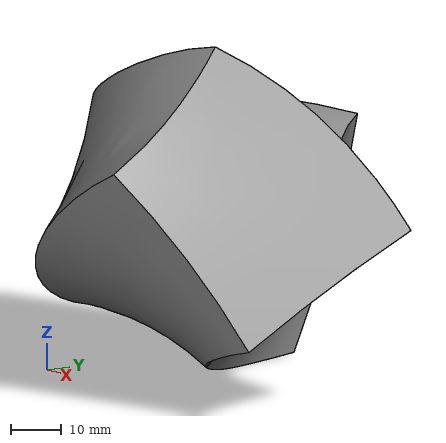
import cadquery as cq


left_front_top = (0.0, 57.5, 48.0)
left_front_low = (2.2, 59.7, 6.6)
left_back_top = (54.8, 75.5, 50.2)
left_back_low = (41.5, 69.0, 0.7)
right_front_top = (89.0, 21.4, 73.7)
right_front_low = (85.3, 0.0, 49.4)
right_back_top = (122.0, 46.5, 39.4)
right_back_low = (108.1, 17.3, 15.5)

face_divisions = 16
face_tolerance = 0.001
sewing_tolerance = 0.05


def curved_edge(start, *between, end):
    """Return a smooth edge from start to end through the points between."""
    points = [cq.Vector(*point) for point in (start, *between, end)]
    return cq.Edge.makeSpline(points)


def blended_face(low, high, start, end):
    """
    Return the face that blends four edges evenly between them.

    low and high run side by side; start joins their first ends and end their last.
    """
    steps = [index / face_divisions for index in range(face_divisions + 1)]
    low_points, high_points, start_points, end_points = (
        [edge.positionAt(step) for step in steps] for edge in (low, high, start, end)
    )
    grid = []
    for i, u in enumerate(steps):
        row = []
        for j, v in enumerate(steps):
            across = low_points[i] * (1 - v) + high_points[i] * v
            along = start_points[j] * (1 - u) + end_points[j] * u
            low_corners = low_points[0] * (1 - u) + low_points[-1] * u
            high_corners = high_points[0] * (1 - u) + high_points[-1] * u
            corners = low_corners * (1 - v) + high_corners * v
            row.append(across + along - corners)
        grid.append(row)
    return cq.Face.makeSplineApprox(grid, tol=face_tolerance, minDeg=3)


front_top_edge = curved_edge(
    left_front_top,
    (8.8, 46.1, 49.1),
    (22.1, 34.3, 52.4),
    (44.1, 24.2, 60.4),
    (66.2, 21.4, 68.2),
    end=right_front_top,
)
front_low_edge = curved_edge(
    left_front_low,
    (13.2, 34.3, 10.0),
    (30.9, 15.5, 20.5),
    (48.6, 6.2, 31.4),
    (66.2, 1.8, 40.9),
    end=right_front_low,
)
back_top_edge = curved_edge(
    left_back_top,
    (66.2, 64.6, 46.9),
    (81.7, 55.7, 43.1),
    (97.0, 50.2, 40.9),
    end=right_back_top,
)
back_low_edge = curved_edge(
    left_back_low,
    (44.4, 57.1, 0.0),
    (57.4, 41.3, 2.2),
    (76.4, 26.9, 7.3),
    end=right_back_low,
)

left_top_edge = curved_edge(
    left_front_top,
    (27.2, 65.7, 51.0),
    end=left_back_top,
)
left_low_edge = curved_edge(
    left_front_low,
    (17.7, 61.9, 7.2),
    (30.9, 66.0, 4.8),
    end=left_back_low,
)
right_top_edge = curved_edge(
    right_front_top,
    (101.4, 30.3, 66.0),
    end=right_back_top,
)
right_low_edge = curved_edge(
    right_front_low,
    (100.0, 10.7, 30.3),
    end=right_back_low,
)

left_front_edge = curved_edge(
    left_front_low,
    (1.8, 58.6, 27.2),
    end=left_front_top,
)
left_back_edge = curved_edge(
    left_back_low,
    (49.3, 73.0, 25.4),
    end=left_back_top,
)
right_front_edge = curved_edge(
    right_front_low,
    (87.2, 10.7, 59.0),
    end=right_front_top,
)
right_back_edge = curved_edge(
    right_back_low,
    (115.5, 32.1, 28.5),
    end=right_back_top,
)

faces = [
    blended_face(front_low_edge, front_top_edge, left_front_edge, right_front_edge),
    blended_face(back_low_edge, back_top_edge, left_back_edge, right_back_edge),
    blended_face(front_top_edge, back_top_edge, left_top_edge, right_top_edge),
    blended_face(front_low_edge, back_low_edge, left_low_edge, right_low_edge),
    blended_face(left_low_edge, left_top_edge, left_front_edge, left_back_edge),
    blended_face(right_low_edge, right_top_edge, right_front_edge, right_back_edge),
]

block_shell = cq.occ_impl.shapes.shell(*faces, tol=sewing_tolerance)
result = cq.Workplane(cq.Solid.makeSolid(block_shell))